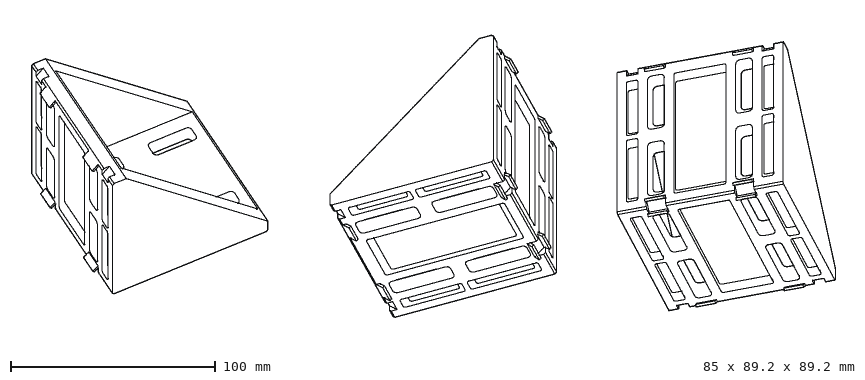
import cadquery as cq
import math


width = 85.0
overall_size = 89.2
tab_reach = 3.3
leg = overall_size - tab_reach
leg_end = 7.7
edge_chamfer = 1.0
wall = 9.1
cavity_width = 68.85

slot_x = 22.6
slot_width = 8.5
slot_length = 32.1
slot_ramp = 8.4
slot_radius = 2.1
slot_bottoms = (7.0, 47.0)

recess_depth = 2.85
recess_radius = 1.1
recess_bottom = 5.8
recess_top = 78.3
long_ramp = 3.7
upper_ramp = 3.4
short_ramp = 3.0
center_recess_width = 26.7
side_recess_x = 34.8
side_recess_width = 5.9
lower_recess_top = 43.1
upper_recess_bottom = 45.8

tab_width = 9.9
tab_thickness = 1.3
tab_root = 0.9
end_tab_angle = 45.0
corner_tab_z = 5.8
corner_tab_angle = 40.0
corner_tab_reach = 2.9
notch_leg = 4.0
corner_cut_leg = 5.5


def prism(points, x_center, length):
    """Extrude a YZ outline along X, centered on x_center."""
    outline = cq.Workplane("YZ", origin=(x_center - length / 2, 0, 0)).polyline(points).close()
    return outline.extrude(length)


def rounded_rectangle(size_x, bottom, top, depth, radius):
    """Rounded rectangle spanning bottom to top, set back behind the Y = 0 face by depth."""
    outline = cq.Sketch().rect(size_x, top - bottom).vertices().fillet(radius)
    return outline.moved(cq.Location(cq.Vector(0, (bottom + top) / 2, -depth)))


def tapered_pocket(x_center, size_x, bottom, top, depth, bottom_ramp, top_ramp, radius):
    """Pocket cut from Y = 0 whose lower and upper ends ramp inward with depth."""
    mouth = rounded_rectangle(size_x, bottom, top, 0, radius)
    floor = rounded_rectangle(size_x, bottom + bottom_ramp, top - top_ramp, depth, radius)
    face = cq.Workplane("XZ", origin=(x_center, 0, 0))
    return face.placeSketch(mouth, floor).loft(ruled=True)


def tab(x_center, z_face, angle, reach):
    """Thin tab leaving the Y = 0 face downward, its upper side meeting it at z_face."""
    slope = math.radians(angle)
    across_y = tab_thickness * math.sin(slope)
    across_z = -tab_thickness * math.cos(slope)
    root_y = tab_root
    root_z = z_face + root_y * math.tan(slope)
    tip_y = -reach
    tip_z = z_face + tip_y * math.tan(slope)
    points = [
        (root_y, root_z),
        (tip_y, tip_z),
        (tip_y + across_y, tip_z + across_z),
        (root_y + across_y, root_z + across_z),
    ]
    return prism(points, x_center, tab_width)


def mirrored(feature):
    """Copy of a feature with Y and Z exchanged."""
    return feature.mirror("XY").rotate((0, 0, 0), (1, 0, 0), 90)


def make_body():
    """Solid wedge with three beveled edges and blunt ends on the sloping side."""
    c = edge_chamfer
    outline = [
        (c, 0),
        (leg - c, 0),
        (leg, c),
        (leg, leg_end),
        (leg_end, leg),
        (c, leg),
        (0, leg - c),
        (0, c),
    ]
    return prism(outline, 0, width)


def make_cavity():
    """Space between the cheeks, open through the sloping side."""
    outline = [(wall, wall), (leg, wall), (leg, leg), (wall, leg)]
    return prism(outline, 0, cavity_width)


def make_face_cuts():
    """Slots, recesses and end notches of the Y = 0 face."""
    cuts = [
        tapered_pocket(
            0, center_recess_width, recess_bottom, recess_top,
            recess_depth, long_ramp, short_ramp, recess_radius,
        )
    ]
    notch = [(0, leg - notch_leg), (0, leg), (notch_leg, leg)]
    for side in (-1, 1):
        for bottom in slot_bottoms:
            cuts.append(
                tapered_pocket(
                    side * slot_x, slot_width, bottom, bottom + slot_length,
                    wall, slot_ramp, 0, slot_radius,
                )
            )
        cuts.append(
            tapered_pocket(
                side * side_recess_x, side_recess_width, recess_bottom, lower_recess_top,
                recess_depth, long_ramp, short_ramp, recess_radius,
            )
        )
        cuts.append(
            tapered_pocket(
                side * side_recess_x, side_recess_width, upper_recess_bottom, recess_top,
                recess_depth, short_ramp, upper_ramp, recess_radius,
            )
        )
        cuts.append(prism(notch, side * side_recess_x, side_recess_width))
    return cuts


def make_corner_cuts():
    """Local bevels across the Y = Z = 0 corner, between the paired corner tabs."""
    bevel = [(0, 0), (corner_cut_leg, 0), (0, corner_cut_leg)]
    return [prism(bevel, side * slot_x, tab_width) for side in (-1, 1)]


def make_face_tabs():
    """Tabs at the free end and near the corner of the Y = 0 face."""
    tabs = []
    for side in (-1, 1):
        tabs.append(tab(side * slot_x, leg - edge_chamfer, end_tab_angle, tab_reach))
        tabs.append(tab(side * slot_x, corner_tab_z, corner_tab_angle, corner_tab_reach))
    return tabs


result = make_body().cut(make_cavity())
for cut in make_face_cuts():
    result = result.cut(cut).cut(mirrored(cut))
for corner_cut in make_corner_cuts():
    result = result.cut(corner_cut)
for face_tab in make_face_tabs():
    result = result.union(face_tab).union(mirrored(face_tab))